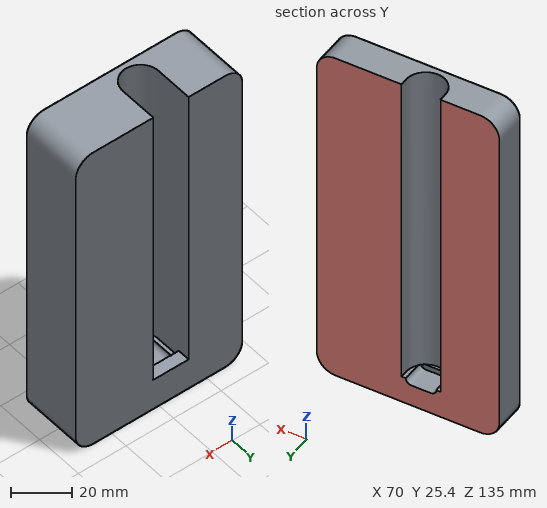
import cadquery as cq
import math

width = 70.0
depth = 25.4
height = 135
corner_radius = 7.4

channel_width = 14.8
channel_center_x = -5.0
channel_front_wall = 2.3
channel_floor_z = 10.8

ledge_depth = 5.1
ledge_height = 2.7

groove_flat_width = 7.4
groove_corner_diameter = 4.2
groove_corner_radius = groove_corner_diameter / 2
groove_front_wall = 3.5

front_y = -depth / 2
rear_y = depth / 2
ledge_front_y = rear_y - ledge_depth


def make_block():
    """Rectangular slab with its four corners rounded."""
    slab = cq.Workplane("XY").box(width, depth, height, centered=(True, True, False))
    return slab.edges("|Y").fillet(corner_radius)


def make_channel():
    """Channel volume with a half-round front and a raised ledge at the rear."""
    radius = channel_width / 2
    left_x = channel_center_x - radius
    right_x = channel_center_x + radius
    tip_y = front_y + channel_front_wall
    straight_y = tip_y + radius
    channel = (
        cq.Workplane("XY", origin=(0, 0, channel_floor_z))
        .moveTo(left_x, rear_y)
        .lineTo(left_x, straight_y)
        .threePointArc((channel_center_x, tip_y), (right_x, straight_y))
        .lineTo(right_x, rear_y)
        .close()
        .extrude(height - channel_floor_z)
    )
    ledge = cq.Workplane("XY").box(
        channel_width, ledge_depth, ledge_height, centered=(True, False, False)
    ).translate((channel_center_x, ledge_front_y, channel_floor_z))
    return channel.cut(ledge)


def make_groove():
    """Groove along Y whose flat bottom curves a quarter turn up into both sides."""
    half_flat = groove_flat_width / 2
    half_width = half_flat + groove_corner_radius
    mid_x = half_flat + groove_corner_radius * math.sin(math.pi / 4)
    mid_z = groove_corner_radius * (1 - math.cos(math.pi / 4))
    groove_front_y = front_y + groove_front_wall
    groove_origin = (channel_center_x, ledge_front_y, channel_floor_z - groove_corner_radius)
    return (
        cq.Workplane("XZ", origin=groove_origin)
        .moveTo(-half_flat, 0)
        .lineTo(half_flat, 0)
        .threePointArc((mid_x, mid_z), (half_width, groove_corner_radius))
        .lineTo(-half_width, groove_corner_radius)
        .threePointArc((-mid_x, mid_z), (-half_flat, 0))
        .close()
        .extrude(ledge_front_y - groove_front_y)
    )


result = make_block().cut(make_channel()).cut(make_groove())